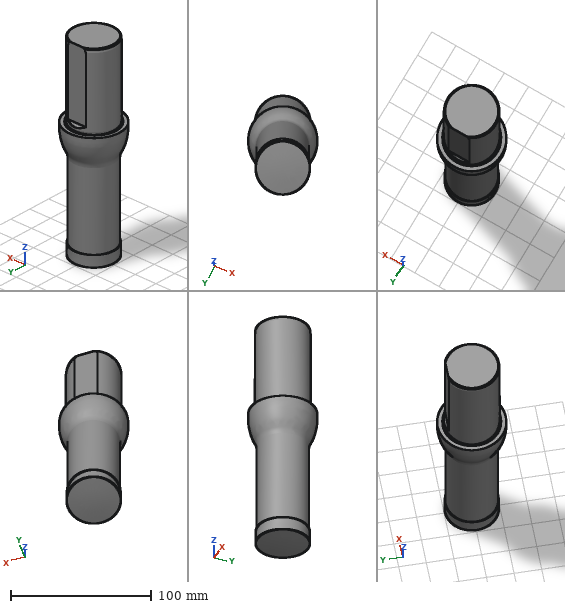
import cadquery as cq
import math

TOTAL_HEIGHT = 180.0
FLANGE_TOP = 110.0
FLANGE_RIM_HEIGHT = 4.5
FLARE_BOTTOM = 82.0
HEAD_TOP = 11.5

SHANK_RADIUS = 40.0 / 2
FLANGE_RADIUS = 49.5 / 2
STEM_RADIUS = 37.8 / 2

FLARE_POINTS = [(19.8, 86.2), (22.5, 92.2), (24.5, 100.8)]

RELIEF_RADIUS = 39.5 / 2
RELIEF_TAPER_HEIGHT = 1.0

END_FACE_RADIUS = 37.8 / 2
LAND_HEIGHT = 1.5
CHAMFER_SIZE = RELIEF_RADIUS - END_FACE_RADIUS

RELIEF_DEPTH = 0.4
RELIEF_ABOVE_FLANGE = 1.8
RELIEF_OUTER_RADIUS = 42.1 / 2

FLAT_OFFSET = 18.0
FLAT_RUNOUT_BOTTOM = 113.4
FLAT_RUNOUT_TOP = 116.0

HEAD_TOP_RADIUS = 38.7 / 2
HEAD_RADIUS = 39.0 / 2
HEAD_EDGE_HEIGHT = 1.0
HEAD_CORNER = 0.4


def make_holder():
    """Shank, flange and stem revolved as one body, with a flat on the shank."""
    flare_top = (FLANGE_RADIUS, FLANGE_TOP - FLANGE_RIM_HEIGHT)
    relief_top = FLANGE_TOP + RELIEF_ABOVE_FLANGE
    land_top = TOTAL_HEIGHT - CHAMFER_SIZE
    land_bottom = land_top - LAND_HEIGHT
    blank = (
        cq.Workplane("XZ")
        .moveTo(0, HEAD_TOP)
        .lineTo(STEM_RADIUS, HEAD_TOP)
        .lineTo(STEM_RADIUS, FLARE_BOTTOM)
        .spline([*FLARE_POINTS, flare_top], tangents=[(0, 1), (0, 1)], includeCurrent=True)
        .lineTo(FLANGE_RADIUS, FLANGE_TOP)
        .lineTo(RELIEF_OUTER_RADIUS, FLANGE_TOP)
        .lineTo(SHANK_RADIUS, FLANGE_TOP - RELIEF_DEPTH)
        .lineTo(RELIEF_RADIUS, FLANGE_TOP)
        .lineTo(RELIEF_RADIUS, relief_top - RELIEF_TAPER_HEIGHT)
        .lineTo(SHANK_RADIUS, relief_top)
        .lineTo(SHANK_RADIUS, land_bottom - RELIEF_TAPER_HEIGHT)
        .lineTo(RELIEF_RADIUS, land_bottom)
        .lineTo(RELIEF_RADIUS, land_top)
        .lineTo(END_FACE_RADIUS, TOTAL_HEIGHT)
        .lineTo(0, TOTAL_HEIGHT)
        .close()
        .revolve(360, (0, 0, 0), (0, 1, 0))
    )
    return blank.cut(make_flat_cutter())


def make_flat_cutter():
    """Prism that removes the shank beyond the flat and its sloped run-out."""
    return (
        cq.Workplane("YZ")
        .moveTo(FLAT_OFFSET, TOTAL_HEIGHT)
        .lineTo(FLAT_OFFSET, FLAT_RUNOUT_TOP)
        .lineTo(SHANK_RADIUS, FLAT_RUNOUT_BOTTOM)
        .lineTo(SHANK_RADIUS, TOTAL_HEIGHT)
        .close()
        .extrude(SHANK_RADIUS, both=True)
    )


def make_cutting_head():
    """Slightly flared head with a domed lower face, butted against the stem."""
    face_radius = HEAD_RADIUS - HEAD_CORNER
    sphere_radius = (face_radius**2 + HEAD_EDGE_HEIGHT**2) / (2 * HEAD_EDGE_HEIGHT)
    dome_mid_radius = face_radius / 2
    dome_mid_height = sphere_radius - math.sqrt(sphere_radius**2 - dome_mid_radius**2)
    return (
        cq.Workplane("XZ")
        .moveTo(0, HEAD_TOP)
        .lineTo(HEAD_TOP_RADIUS, HEAD_TOP)
        .lineTo(HEAD_RADIUS, HEAD_EDGE_HEIGHT + HEAD_CORNER)
        .lineTo(face_radius, HEAD_EDGE_HEIGHT)
        .threePointArc((dome_mid_radius, dome_mid_height), (0, 0))
        .close()
        .revolve(360, (0, 0, 0), (0, 1, 0))
    )


holder = make_holder()
cutting_head = make_cutting_head()

result = cq.Compound.makeCompound([holder.val(), cutting_head.val()])